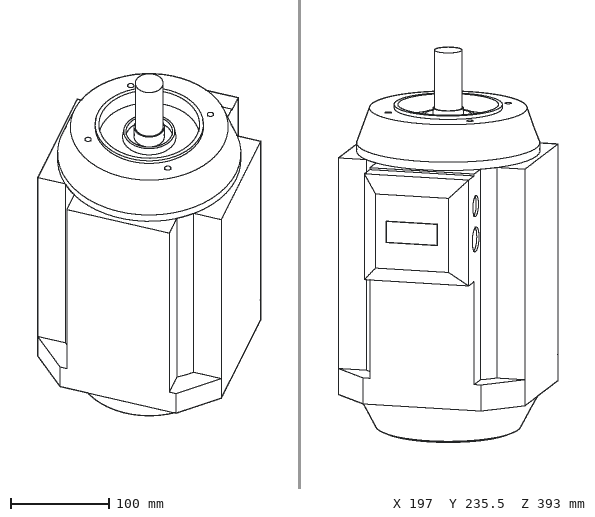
import cadquery as cq


base_z = 42.0
notch_floor_z = 69.0
body_top_z = 288.0
shield_cone_z = 296.7
flange_z = 333.0
spigot_z = 336.5
shaft_top_z = 393.0

body_width = 197.0
body_half = body_width / 2
corner_bevel = 36.0
rib_width_x = 110.0
rib_width_y = body_width - 2 * corner_bevel
core_radius = 92.7

shield_radius = 93.0

cover_top_radius = 95.0
cover_bottom_radius = 74.0
cover_foot_radius = 68.8
cover_foot_height = 2.5

flange_radius = 80.0
spigot_radius = 55.0
recess_radius = 51.0
recess_depth = 17.3
recess_floor_z = spigot_z - recess_depth

seal_height = 7.5
seal_bottom_radius = 27.0
seal_top_radius = 26.0
seal_bore_radius = 23.5

shaft_radius = 14.0
collar_radius = 15.5
collar_top_z = flange_z

bolt_circle_radius = 65.0
bolt_hole_radius = 3.0
bolt_hole_depth = 8.0
bolt_hole_count = 4
bolt_start_angle = 35.6

box_width = rib_width_x
box_bottom_z = 176.0
box_top_z = 286.0
box_height = box_top_z - box_bottom_z
box_mid_z = (box_top_z + box_bottom_z) / 2
box_cover_y = 135.5
box_bevel = 16.5

overall_depth = 235.5
plate_width = 54.0
plate_height = 22.0
plate_face_y = overall_depth - body_half

entry_y = 92.7
entry_depth = 2.5
cable_entries = [(253.5, 10.5), (219.0, 12.5)]


def upright_box(width_x, width_y, bottom_z, top_z):
    """Box centred on the Z axis between two heights."""
    blank = cq.Workplane("XY").workplane(offset=bottom_z)
    return blank.rect(width_x, width_y).extrude(top_z - bottom_z)


def make_body():
    """Bevelled base block with two wide crossing ribs standing on it."""
    base = upright_box(body_width, body_width, base_z, notch_floor_z)
    base = base.edges("|Z").chamfer(corner_bevel)
    rib_x = upright_box(body_width, rib_width_y, base_z, body_top_z)
    rib_y = upright_box(rib_width_x, body_width, notch_floor_z, body_top_z)
    return base.union(rib_x).union(rib_y)


def make_turned_parts():
    """Fan cover, round core, end shield, flange, spigot, seal ring and shaft as one revolved profile."""
    profile = [
        (0, 0),
        (cover_foot_radius, 0),
        (cover_foot_radius, cover_foot_height),
        (cover_bottom_radius, cover_foot_height),
        (cover_top_radius, base_z),
        (core_radius, base_z),
        (core_radius, body_top_z),
        (shield_radius, body_top_z),
        (shield_radius, shield_cone_z),
        (flange_radius, flange_z),
        (spigot_radius, flange_z),
        (spigot_radius, spigot_z),
        (recess_radius, spigot_z),
        (recess_radius, recess_floor_z),
        (seal_bottom_radius, recess_floor_z),
        (seal_top_radius, recess_floor_z + seal_height),
        (seal_bore_radius, recess_floor_z + seal_height),
        (seal_bore_radius, recess_floor_z),
        (collar_radius, recess_floor_z),
        (collar_radius, collar_top_z),
        (shaft_radius, collar_top_z),
        (shaft_radius, shaft_top_z),
        (0, shaft_top_z),
    ]
    return cq.Workplane("XZ").polyline(profile).close().revolve(360, (0, 0), (0, 1))


def make_bolt_holes():
    """Blind holes evenly spaced on the bolt circle."""
    face = cq.Workplane("XY").workplane(offset=flange_z)
    spots = face.polarArray(bolt_circle_radius, bolt_start_angle, 360, bolt_hole_count)
    return spots.circle(bolt_hole_radius).extrude(-bolt_hole_depth)


def make_terminal_box():
    """Box rooted inside the round core, with a bevelled cover and a raised plate."""
    root_y = core_radius / 2
    depth = box_cover_y - root_y
    box = cq.Workplane("XY").box(box_width, depth, box_height)
    box = box.faces(">Y").chamfer(box_bevel)
    box = box.translate((0, root_y + depth / 2, box_mid_z))
    plate = cq.Workplane("XY").box(plate_width, plate_face_y - root_y, plate_height)
    plate = plate.translate((0, (plate_face_y + root_y) / 2, box_mid_z))
    return box.union(plate)


def make_cable_entries():
    """Shallow round recesses in the -X wall of the terminal box."""
    wall = cq.Workplane("YZ").workplane(offset=-box_width / 2)
    cutters = cq.Workplane("YZ")
    for height, radius in cable_entries:
        cutters = cutters.add(wall.center(entry_y, height).circle(radius).extrude(entry_depth))
    return cutters.combine()


result = make_body().union(make_turned_parts()).union(make_terminal_box())
result = result.cut(make_bolt_holes()).cut(make_cable_entries())